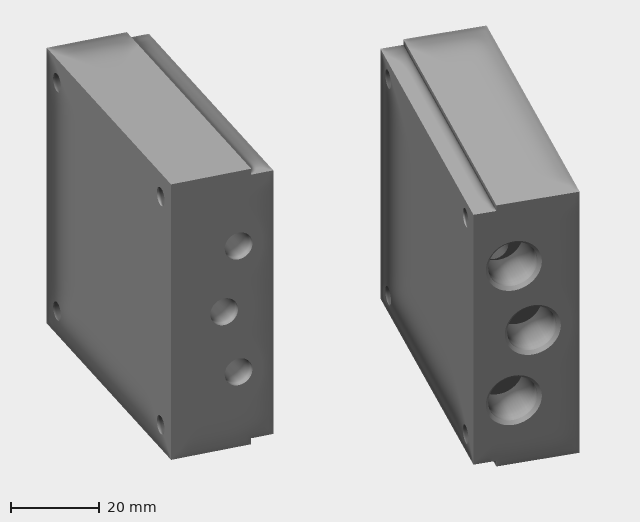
import cadquery as cq

LENGTH = 72.0
DEPTH = 25.0
HEIGHT = 70.0

STEP_DEPTH = 5.4
STEP_HEIGHT = 1.5

MOUNT_DIAMETER = 4.5
MOUNT_PITCH_X = 60.0
MOUNT_PITCH_Z = 58.0

PORT_DIAMETER = 11.6
PORT_DEPTH = 12.0
PORT_CHAMFER = 0.8
PORT_MOUTH_DIAMETER = PORT_DIAMETER + 2 * PORT_CHAMFER

CHANNEL_DIAMETER = 6.8

OUTER_PORT_SETBACK = 9.5
OUTER_PORT_OFFSET = 18.0
OUTER_CHANNEL_SETBACK = 8.5
OUTER_CHANNEL_OFFSET = 16.0
MIDDLE_PORT_SETBACK = 14.0
MIDDLE_CHANNEL_SETBACK = 12.0

BACK_Y = DEPTH / 2
LEFT_X = -LENGTH / 2


def end_positions(outer_setback, outer_offset, middle_setback):
    """(Y, Z) positions of an outer pair and a middle feature on the -X end."""
    return [
        (BACK_Y - outer_setback, outer_offset),
        (BACK_Y - middle_setback, 0),
        (BACK_Y - outer_setback, -outer_offset),
    ]


def stepped_block():
    """Full-height front slab joined to the slightly lower back slab."""
    front = cq.Workplane("XY").box(LENGTH, DEPTH - STEP_DEPTH, HEIGHT)
    front = front.translate((0, -STEP_DEPTH / 2, 0))
    back = cq.Workplane("XY").box(LENGTH, DEPTH, HEIGHT - 2 * STEP_HEIGHT)
    return front.union(back)


def mounting_holes():
    """Four through holes near the corners of the large faces."""
    return (
        cq.Workplane("XZ", origin=(0, BACK_Y, 0))
        .rarray(MOUNT_PITCH_X, MOUNT_PITCH_Z, 2, 2)
        .circle(MOUNT_DIAMETER / 2)
        .extrude(DEPTH)
    )


def ports():
    """Flat-bottomed bores with 45 degree conical mouths."""
    positions = end_positions(OUTER_PORT_SETBACK, OUTER_PORT_OFFSET, MIDDLE_PORT_SETBACK)
    end_face = cq.Workplane("YZ", origin=(LEFT_X, 0, 0)).pushPoints(positions)
    bores = end_face.circle(PORT_DIAMETER / 2).extrude(PORT_DEPTH)
    mouths = end_face.circle(PORT_MOUTH_DIAMETER / 2).extrude(PORT_CHAMFER, taper=45)
    return bores.union(mouths)


def channels():
    """Through channels, set off-centre from their ports."""
    positions = end_positions(OUTER_CHANNEL_SETBACK, OUTER_CHANNEL_OFFSET, MIDDLE_CHANNEL_SETBACK)
    return (
        cq.Workplane("YZ", origin=(LEFT_X, 0, 0))
        .pushPoints(positions)
        .circle(CHANNEL_DIAMETER / 2)
        .extrude(LENGTH)
    )


result = stepped_block().cut(mounting_holes()).cut(ports()).cut(channels())